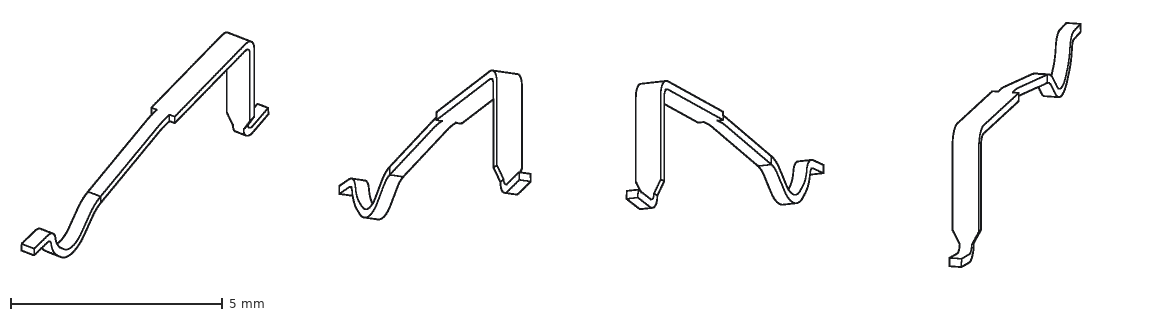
import cadquery as cq
import math

LENGTH = 10.65
THICKNESS = 0.2
WIDE_WIDTH = 0.65
ARM_WIDTH = 0.35
HOOK_WIDTH = 0.3

STEP_AT = 4.53
JOINT_AT = 7.64
TAPER_TOP = 0.7
TAPER_BOTTOM = 0.37

LEG_AT = 1.03
FLAT_HEIGHT = 3.1

CENTRELINE = [
    (0.01, 0.16, 0),
    (LEG_AT, 0.06, 0.29),
    (LEG_AT, FLAT_HEIGHT, 0.32),
    (STEP_AT, FLAT_HEIGHT, 0),
    (4.85, 3.11, 1.92),
    (7.87, 2.73, 0.84),
    (8.92, 1.89, 0.68),
    (9.72, 2.69, 0.9),
    (9.81, 3.22, 0.28),
    (10.64, 3.25, 0),
]


def unit(start, end):
    """Unit direction from one centreline point to another."""
    along = end[0] - start[0]
    up = end[1] - start[1]
    size = math.hypot(along, up)
    return along / size, up / size


def bend_points(before, corner, after, offset):
    """Start, middle and end of a bend's arc, shifted sideways from the centreline.

    A sharp bend gives the single mitred corner point.
    """
    u_in = unit(before, corner)
    u_out = unit(corner, after)
    turn = math.atan2(u_in[0] * u_out[1] - u_in[1] * u_out[0], u_in[0] * u_out[0] + u_in[1] * u_out[1])
    half_angle = math.atan2(u_in[1], u_in[0]) + turn / 2
    normal = (-math.sin(half_angle), math.cos(half_angle))
    mitre = offset / math.cos(turn / 2)
    along, up, radius = corner
    if radius == 0:
        return [(along + mitre * normal[0], up + mitre * normal[1])]

    tangent = radius * math.tan(abs(turn) / 2)
    inset = math.copysign(radius / math.cos(turn / 2) - radius, turn) + offset
    return [
        (along - tangent * u_in[0] - offset * u_in[1], up - tangent * u_in[1] + offset * u_in[0]),
        (along + inset * normal[0], up + inset * normal[1]),
        (along + tangent * u_out[0] - offset * u_out[1], up + tangent * u_out[1] + offset * u_out[0]),
    ]


def strip_side(path, offset):
    """One long side of the strip, as a list of corner points and three-point arcs."""
    start_dir = unit(path[0], path[1])
    end_dir = unit(path[-2], path[-1])
    side = [[(path[0][0] - offset * start_dir[1], path[0][1] + offset * start_dir[0])]]
    for before, corner, after in zip(path, path[1:], path[2:]):
        side.append(bend_points(before, corner, after, offset))
    side.append([(path[-1][0] - offset * end_dir[1], path[-1][1] + offset * end_dir[0])])
    return side


def bent_strip(path, width):
    """Strip of constant thickness along the path, centred on X = 0."""
    upper = strip_side(path, THICKNESS / 2)
    lower = strip_side(path, -THICKNESS / 2)
    pieces = upper + [piece[::-1] for piece in reversed(lower)]
    pieces = [[(LENGTH / 2 - along, up) for along, up in piece] for piece in pieces]
    outline = cq.Workplane("YZ").moveTo(*pieces[0][0])
    for piece in pieces[1:]:
        outline = outline.lineTo(*piece[0])
        if len(piece) > 1:
            outline = outline.threePointArc(piece[1], piece[2])
    return outline.close().extrude(width / 2, both=True)


def length_block(start, end, width):
    """Tall block covering part of the length, used to select a stretch of strip."""
    return cq.Workplane("XY").box(width, end - start, LENGTH).translate((0, LENGTH / 2 - (start + end) / 2, 0))


def leg_outline():
    """Front outline of the wide part, tapering down to the hook, through its whole length."""
    half_wide = WIDE_WIDTH / 2
    half_hook = HOOK_WIDTH / 2
    right_edge = [
        (half_hook, -THICKNESS),
        (half_hook, TAPER_BOTTOM),
        (half_wide, TAPER_TOP),
        (half_wide, FLAT_HEIGHT + THICKNESS),
    ]
    left_edge = [(-across, up) for across, up in reversed(right_edge)]
    return cq.Workplane("XZ").polyline(right_edge + left_edge).close().extrude(LENGTH, both=True)


def make_mounting_body(strip):
    """Hook, tapered leg and wide flat, continued by the narrow arm up to the joint."""
    wide = length_block(-THICKNESS, STEP_AT, WIDE_WIDTH).intersect(leg_outline())
    arm = length_block(STEP_AT, JOINT_AT, ARM_WIDTH)
    return strip.intersect(wide.union(arm))


def make_contact_tip(strip):
    """Curved free end of the spring beyond the joint."""
    return strip.intersect(length_block(JOINT_AT, LENGTH + THICKNESS, ARM_WIDTH))


blank = bent_strip(CENTRELINE, WIDE_WIDTH)
mounting_body = make_mounting_body(blank)
contact_tip = make_contact_tip(blank)

result = cq.Compound.makeCompound([mounting_body.solids().val(), contact_tip.solids().val()])